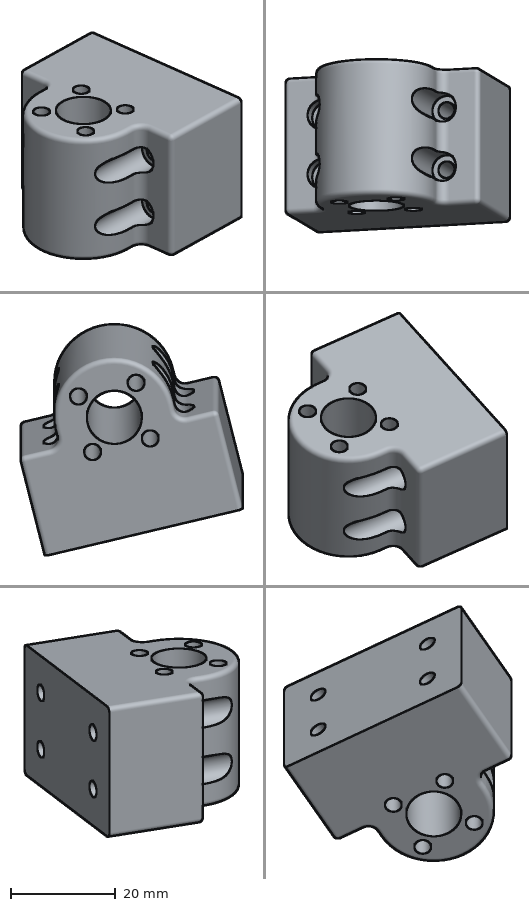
import cadquery as cq

block_width = 39.0
block_depth = 20.0
height = 26.5

boss_radius = 11.5
overall_depth = 35.0
boss_axis_y = boss_radius - overall_depth

root_radius = 2.0
edge_radius = 1.0

bore_diameter = 10.5
ring_hole_diameter = 3.2
ring_diameter = 16.0
ring_hole_count = 4
ring_start_angle = 45.0
full_turn = 360.0

mount_hole_diameter = 3.2
mount_head_diameter = 5.6
mount_head_depth = 3.0
mount_columns = 2
mount_rows = 2
mount_spacing_x = 24.0
mount_spacing_z = 11.5


def make_body():
    """Extrude the block-and-boss outline and round its edges."""
    half_width = block_width / 2
    root_x = boss_radius + root_radius
    root_y = -block_depth - root_radius
    body = (
        cq.Workplane("XY")
        .workplane(offset=-height / 2)
        .moveTo(-half_width, 0)
        .lineTo(-half_width, -block_depth)
        .lineTo(-root_x, -block_depth)
        .radiusArc((-boss_radius, root_y), root_radius)
        .lineTo(-boss_radius, boss_axis_y)
        .threePointArc((0, -overall_depth), (boss_radius, boss_axis_y))
        .lineTo(boss_radius, root_y)
        .radiusArc((root_x, -block_depth), root_radius)
        .lineTo(half_width, -block_depth)
        .lineTo(half_width, 0)
        .close()
        .extrude(height)
    )
    front_corners = body.faces("<X or >X").edges("|Z").edges("<Y")
    rims = body.faces("<Z or >Z").edges().edges("not(>Y)")
    return front_corners.add(rims).fillet(edge_radius)


def make_boss_holes():
    """Through bore on the boss axis with its ring of screw holes."""
    holes_start = cq.Workplane("XY", origin=(0, boss_axis_y, -height / 2))
    bore = holes_start.circle(bore_diameter / 2).extrude(height)
    ring = (
        holes_start.polarArray(ring_diameter / 2, ring_start_angle, full_turn, ring_hole_count)
        .circle(ring_hole_diameter / 2)
        .extrude(height)
    )
    return bore.union(ring)


def make_mount_holes():
    """Through holes along Y, with head clearance sunk into the block front face."""

    def cylinders(diameter, back_y):
        return (
            cq.Workplane("XZ", origin=(0, back_y, 0))
            .rarray(mount_spacing_x, mount_spacing_z, mount_columns, mount_rows)
            .circle(diameter / 2)
            .extrude(overall_depth + back_y)
        )

    through_holes = cylinders(mount_hole_diameter, 0)
    head_clearances = cylinders(mount_head_diameter, mount_head_depth - block_depth)
    return through_holes.union(head_clearances)


result = make_body().cut(make_boss_holes()).cut(make_mount_holes())